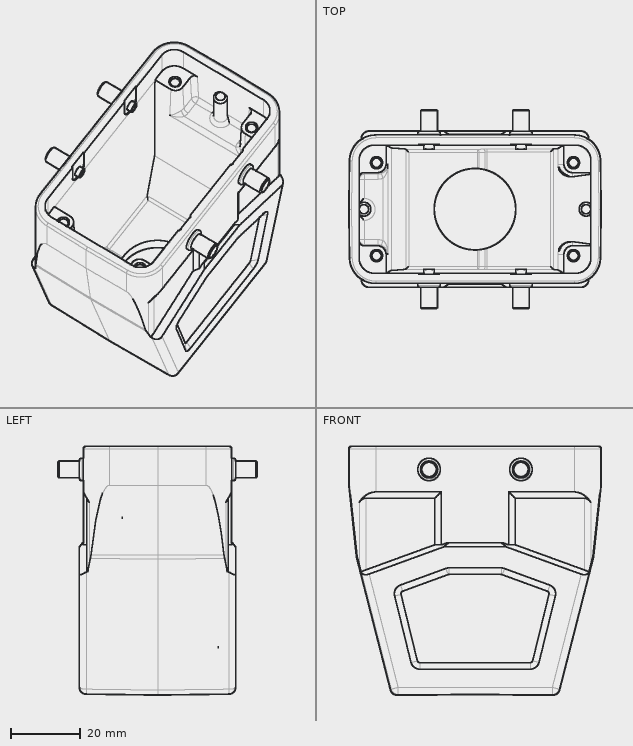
import cadquery as cq
import math

LENGTH = 73.0
HEIGHT = 72.0
PIN_SPAN = 57.6

COLLAR_WIDTH = 42.9
BODY_WIDTH = 45.25
CORNER_RADIUS = 7.6
RIM_FILLET = 0.7
PARTING_DRAFT = 0.75
BOTTOM_HALF = 24.1
KNEE_HALF = 34.3
KNEE_Z = 40.0
TAPER_TOP_Z = 60.7
KNEE_FILLET = 7.3
BODY_FILLET = 2.05

GABLE_HALF = 9.35
GABLE_Z = 44.3
GABLE_SLOPE = 20.0
GABLE_BEVEL = 1.45

PANEL_DEPTH = 1.0
PANEL_INNER_X = 9.8
PANEL_TOP_Z = 58.8
PANEL_BEVEL = 1.8
PANEL_END_FILLET = 2.9

POCKET_DEPTH = 1.45
POCKET_BEVEL = 1.9
POCKET_TOP_HALF = 8.0
POCKET_TOP_Z = 36.8
POCKET_SHOULDER_HALF = 23.8
POCKET_SHOULDER_Z = 31.0
POCKET_BOTTOM_HALF = 18.0
POCKET_BOTTOM_Z = 7.5
POCKET_CORNER = 2.6

MOUTH_LENGTH = 67.0
MOUTH_WIDTH = 37.1
MOUTH_CORNER = 4.45
SEAT_Z = 62.55
WALL_DRAFT = 2.0
FLOOR_WIDTH = 34.75
FLOOR_LEFT_X = -19.85
FLOOR_RIGHT_X = 22.5
FLOOR_LEFT_Z = 4.4
FLOOR_RIGHT_Z = 5.85
FLOOR_STEP_START_X = 0.9
FLOOR_STEP_END_X = 3.1
FLOOR_FILLET = 0.9
SHELF_Z = 49.65
SHELF_FILLET = 1.45
CABLE_HOLE_DIAMETER = 23.5

BOSS_INNER_X = 25.7
BOSS_INNER_Y = 10.6
BOSS_CORNER = 2.5
SCREW_X = 28.5
SCREW_Y = 13.4
SCREW_DIAMETER = 2.7
SCREW_MOUTH_DIAMETER = 3.5
SCREW_DEPTH = 10.95

POST_X = 32.1
POST_TOP_Z = 62.05
POST_LOW_FOOT_Z = 35.05
POST_DIAMETER = 4.0
POST_TIP_DIAMETER = 2.7
POST_TIP_LENGTH = 0.65
POST_FOOT_FILLET = 1.2

PIN_X = 13.3
PIN_Z = 65.25
PIN_DIAMETER = 4.9
PIN_CHAMFER = 0.4
PIN_COLLAR_DIAMETER = 6.5
PIN_COLLAR_LENGTH = 1.1
PIN_COLLAR_FILLET = 0.6
PIN_EMBED = 0.7
RIVET_DIAMETER = 3.0
RIVET_HOLE_DIAMETER = 1.9
RIVET_HOLE_DEPTH = 0.7
RIVET_END_Y = 17.4
RIVET_SLOT_WIDTH = 5.9
RIVET_SLOT_DEPTH = 0.3

SIDES = (-1, 1)
NEAR = 0.1
STEEP_SLOPE = (KNEE_HALF - BOTTOM_HALF) / KNEE_Z
SLIGHT_SLOPE = (LENGTH / 2 - KNEE_HALF) / (TAPER_TOP_Z - KNEE_Z)


def long_side_plane(side, y):
    """Plane on a long side: local x runs along the part, local y is Z, normal points outward."""
    return cq.Plane(origin=(0, side * y, 0), xDir=(-side, 0, 0), normal=(0, side, 0))


def mirrored_outline(right_points):
    """Closed outline from the right-hand points, mirrored about the local vertical axis."""
    return right_points + [(-x, z) for x, z in reversed(right_points)]


def drafted_half(side, outline):
    """Front silhouette carried from the middle plane to one long side, with draft."""
    return (
        cq.Workplane(long_side_plane(side, 0))
        .polyline(outline)
        .close()
        .extrude(BODY_WIDTH / 2, taper=PARTING_DRAFT)
    )


def tapered_envelope():
    """Full-height silhouette with its two tapers blended at the knee."""
    top_z = HEIGHT + 2 * RIM_FILLET
    top_half = KNEE_HALF + SLIGHT_SLOPE * (top_z - KNEE_Z)
    outline = mirrored_outline([(BOTTOM_HALF, 0), (KNEE_HALF, KNEE_Z), (top_half, top_z)])
    halves = []
    for side in SIDES:
        half = drafted_half(side, outline)
        knee = half.edges().filter(lambda e: abs(e.Center().z - KNEE_Z) < NEAR)
        halves.append(knee.fillet(KNEE_FILLET))
    return halves[0].union(halves[1])


def upper_shell():
    """Rounded collar with its sunk panels, trimmed to the tapered envelope."""
    half_width = COLLAR_WIDTH / 2
    end_half = LENGTH / 2 - half_width * math.tan(math.radians(PARTING_DRAFT))
    outline = [
        (LENGTH / 2, 0),
        (end_half, half_width),
        (-end_half, half_width),
        (-LENGTH / 2, 0),
        (-end_half, -half_width),
        (end_half, -half_width),
    ]
    collar = cq.Workplane("XY").workplane(offset=BODY_FILLET).polyline(outline).close()
    collar = collar.extrude(HEIGHT - BODY_FILLET)
    for face in ("<Y", ">Y"):
        collar = collar.faces(face).edges("|Z").fillet(CORNER_RADIUS)
    collar = collar.faces(">Z").edges().fillet(RIM_FILLET)
    shell = collar.intersect(tapered_envelope())
    for side in SIDES:
        for end in SIDES:
            shell = shell.cut(panel_cutter(side, end))
    run_outs = shell.edges("|Z").filter(lambda e: is_panel_run_out(e.Center()))
    return run_outs.fillet(PANEL_END_FILLET)


def is_panel_run_out(point):
    """True on the upright edges where the sunk panels leave the rounded corners."""
    on_panel = abs(abs(point.y) - COLLAR_WIDTH / 2 + PANEL_DEPTH) < NEAR
    return on_panel and abs(point.x) > LENGTH / 2 - CORNER_RADIUS


def panel_cutter(side, end):
    """Sunk panel beside the middle web, with sloping top and inner walls."""
    outline = [
        (end * PANEL_INNER_X, 0),
        (end * LENGTH, 0),
        (end * LENGTH, PANEL_TOP_Z),
        (end * PANEL_INNER_X, PANEL_TOP_Z),
    ]
    draft = math.degrees(math.atan2(PANEL_BEVEL, PANEL_DEPTH))
    return (
        cq.Workplane(long_side_plane(side, COLLAR_WIDTH / 2))
        .polyline(outline)
        .close()
        .extrude(-PANEL_DEPTH, taper=draft)
    )


def gable_prism():
    """Full-width block under the gable roof line."""
    eave_z = GABLE_Z - (LENGTH - GABLE_HALF) * math.tan(math.radians(GABLE_SLOPE))
    outline = mirrored_outline([(LENGTH, -HEIGHT), (LENGTH, eave_z), (GABLE_HALF, GABLE_Z)])
    return cq.Workplane("XZ").polyline(outline).close().extrude(BODY_WIDTH, both=True)


def roof_bevel_cutter(side, lean, depth):
    """Wedge along one roof edge; lean is -1, 0 or 1 for left slope, level or right slope."""
    angle = math.radians(GABLE_SLOPE) * lean
    along_roof = (math.cos(angle), 0, -math.sin(angle))
    edge_plane = cq.Plane(origin=(lean * GABLE_HALF, 0, GABLE_Z), xDir=(0, 1, 0), normal=along_roof)
    face_y = side * BODY_WIDTH / 2
    wedge = [
        (face_y - side * depth, 0),
        (face_y + side * depth, -2 * GABLE_BEVEL),
        (face_y + side * depth, 0),
    ]
    return cq.Workplane(edge_plane).polyline(wedge).close().extrude(LENGTH, both=True)


def lower_body():
    """Wide lower part with rounded edges and bevelled gable roofs."""
    side_half_at_roof = BOTTOM_HALF + STEEP_SLOPE * GABLE_Z
    outline = mirrored_outline([(BOTTOM_HALF, 0), (side_half_at_roof, GABLE_Z)])
    halves = []
    for side in SIDES:
        half = drafted_half(side, outline)
        rounded = half.edges().filter(lambda e: abs(e.Center().y) > NEAR and e.Center().z < KNEE_Z)
        halves.append(rounded.fillet(BODY_FILLET))
    body = halves[0].union(halves[1]).intersect(gable_prism())
    level_depth = (BODY_WIDTH - COLLAR_WIDTH) / 2
    for side in SIDES:
        body = body.cut(roof_bevel_cutter(side, 0, level_depth))
        for lean in SIDES:
            body = body.cut(roof_bevel_cutter(side, lean, level_depth + PANEL_DEPTH))
    return body


def pocket_cutter(side):
    """Shallow five-sided pocket with sloping walls."""
    outline = mirrored_outline(
        [
            (POCKET_BOTTOM_HALF, POCKET_BOTTOM_Z),
            (POCKET_SHOULDER_HALF, POCKET_SHOULDER_Z),
            (POCKET_TOP_HALF, POCKET_TOP_Z),
        ]
    )
    draft = math.degrees(math.atan2(POCKET_BEVEL, POCKET_DEPTH))
    corners = [cq.Vector(x, z) for x, z in outline]
    pocket = cq.Face.makeFromWires(cq.Wire.makePolygon(corners, close=True))
    pocket = pocket.fillet2D(POCKET_CORNER, pocket.Vertices())
    return (
        cq.Workplane(long_side_plane(side, BODY_WIDTH / 2))
        .placeSketch(cq.Sketch().face(pocket))
        .extrude(-POCKET_DEPTH, taper=draft)
    )


def corner_bosses():
    """Four drafted bosses that fill the cavity corners up to the seat."""
    reach_x = LENGTH / 2 - BOSS_INNER_X
    reach_y = COLLAR_WIDTH / 2 - BOSS_INNER_Y
    centre_x = BOSS_INNER_X + reach_x / 2
    centre_y = BOSS_INNER_Y + reach_y / 2
    centres = [(x * centre_x, y * centre_y) for x in SIDES for y in SIDES]
    footprint = cq.Sketch().push(centres).rect(reach_x, reach_y).reset().vertices().fillet(BOSS_CORNER)
    return (
        cq.Workplane("XY", origin=(0, 0, SEAT_Z))
        .placeSketch(footprint)
        .extrude(-SEAT_Z, taper=-WALL_DRAFT)
    )


def cavity():
    """Hollow from the mouth to the stepped floor, less the bosses and the thick end wall."""
    mouth_half = MOUTH_LENGTH / 2
    draft = math.tan(math.radians(WALL_DRAFT))
    shelf_edge_x = -BOSS_INNER_X + draft * (SEAT_Z - SHELF_Z)
    inset = BOSS_INNER_X + FLOOR_LEFT_X - draft * (SEAT_Z - FLOOR_LEFT_Z)
    meet_rise = inset / (STEEP_SLOPE - draft)
    meet_x = FLOOR_LEFT_X - STEEP_SLOPE * meet_rise
    right_top_z = FLOOR_RIGHT_Z + (mouth_half - FLOOR_RIGHT_X) / STEEP_SLOPE
    length_profile = [
        (FLOOR_LEFT_X, FLOOR_LEFT_Z),
        (FLOOR_STEP_START_X, FLOOR_LEFT_Z),
        (FLOOR_STEP_END_X, FLOOR_RIGHT_Z),
        (FLOOR_RIGHT_X, FLOOR_RIGHT_Z),
        (mouth_half, right_top_z),
        (mouth_half, HEIGHT),
        (-mouth_half, HEIGHT),
        (-mouth_half, SHELF_Z),
        (shelf_edge_x, SHELF_Z),
        (meet_x, FLOOR_LEFT_Z + meet_rise),
    ]
    width_profile = mirrored_outline(
        [(FLOOR_WIDTH / 2, FLOOR_LEFT_Z), (MOUTH_WIDTH / 2, SEAT_Z), (MOUTH_WIDTH / 2, HEIGHT)]
    )
    hollow = cq.Workplane("XZ").polyline(length_profile).close().extrude(MOUTH_WIDTH, both=True)
    shelf_edges = hollow.edges("|Y").filter(lambda e: abs(e.Center().z - SHELF_Z) < NEAR)
    hollow = shelf_edges.fillet(SHELF_FILLET)
    hollow = hollow.intersect(cq.Workplane("YZ").polyline(width_profile).close().extrude(LENGTH, both=True))
    hollow = hollow.edges().filter(lambda e: e.Center().z < FLOOR_RIGHT_Z + NEAR).fillet(FLOOR_FILLET)
    mouth = cq.Workplane("XY").rect(MOUTH_LENGTH, MOUTH_WIDTH).extrude(HEIGHT)
    hollow = hollow.intersect(mouth.edges("|Z").fillet(MOUTH_CORNER))
    hollow = hollow.cut(corner_bosses())
    boss_feet = hollow.edges().filter(is_shelf_foot)
    return boss_feet.fillet(SHELF_FILLET)


def is_shelf_foot(edge):
    """True on the straight edges where the end wall ledge meets the bosses."""
    point = edge.Center()
    boss_face_y = BOSS_INNER_Y - (SEAT_Z - SHELF_Z) * math.tan(math.radians(WALL_DRAFT))
    on_ledge = abs(point.z - SHELF_Z) < NEAR
    on_boss = abs(abs(point.y) - boss_face_y) < NEAR
    return on_ledge and on_boss and edge.geomType() == "LINE"


def screw_holes():
    """Blind holes with a countersunk mouth in the four boss tops."""
    mouth_depth = (SCREW_MOUTH_DIAMETER - SCREW_DIAMETER) / 2
    profile = [
        (0, 0),
        (SCREW_MOUTH_DIAMETER / 2, 0),
        (SCREW_DIAMETER / 2, -mouth_depth),
        (SCREW_DIAMETER / 2, -SCREW_DEPTH),
        (0, -SCREW_DEPTH),
    ]
    hole = cq.Workplane("XZ").polyline(profile).close().revolve(360, (0, 0), (0, 1))
    return [hole.translate((x * SCREW_X, y * SCREW_Y, SEAT_Z)) for x in SIDES for y in SIDES]


def guide_post(end):
    """Half-embedded post with a blunt conical tip; the one on the ledge has a flared foot."""
    on_shelf = end < 0
    foot_z = SHELF_Z if on_shelf else POST_LOW_FOOT_Z
    post = (
        cq.Workplane("XY", origin=(end * POST_X, 0, foot_z))
        .circle(POST_DIAMETER / 2)
        .extrude(POST_TOP_Z - foot_z)
        .faces(">Z")
        .chamfer(POST_TIP_LENGTH, (POST_DIAMETER - POST_TIP_DIAMETER) / 2)
    )
    if not on_shelf:
        return post
    foot_radius = POST_DIAMETER / 2 + POST_FOOT_FILLET
    flare = (
        cq.Workplane("XZ")
        .lineTo(foot_radius, 0)
        .radiusArc((POST_DIAMETER / 2, POST_FOOT_FILLET), POST_FOOT_FILLET)
        .lineTo(0, POST_FOOT_FILLET)
        .close()
        .revolve(360, (0, 0), (0, 1))
    )
    return post.union(flare.translate((end * POST_X, 0, foot_z)))


def locking_pin(side, x):
    """Pin with a collar outside the wall and a hollow riveted end inside."""
    wall_y = COLLAR_WIDTH / 2
    tip_y = PIN_SPAN / 2
    profile = [
        (0, RIVET_END_Y + RIVET_HOLE_DEPTH),
        (RIVET_HOLE_DIAMETER / 2, RIVET_END_Y + RIVET_HOLE_DEPTH),
        (RIVET_HOLE_DIAMETER / 2, RIVET_END_Y),
        (RIVET_DIAMETER / 2, RIVET_END_Y),
        (RIVET_DIAMETER / 2, wall_y - PIN_EMBED),
        (PIN_COLLAR_DIAMETER / 2, wall_y - PIN_EMBED),
        (PIN_COLLAR_DIAMETER / 2, wall_y + PIN_COLLAR_LENGTH),
        (PIN_DIAMETER / 2, wall_y + PIN_COLLAR_LENGTH),
        (PIN_DIAMETER / 2, tip_y - PIN_CHAMFER),
        (PIN_DIAMETER / 2 - PIN_CHAMFER, tip_y),
        (0, tip_y),
    ]
    pin = cq.Workplane("XY").polyline(profile).close().revolve(360, (0, 0), (0, 1))
    collar_radius = PIN_COLLAR_DIAMETER / 2
    collar_rim = pin.edges("%CIRCLE").filter(lambda e: abs(e.radius() - collar_radius) < NEAR)
    pin = collar_rim.fillet(PIN_COLLAR_FILLET)
    if side < 0:
        pin = pin.mirror("XZ")
    return pin.translate((x, 0, PIN_Z))


def rivet_slot(side, x):
    """Shallow round-ended slot in the inner wall, open at the rim."""
    plane = long_side_plane(side, MOUTH_WIDTH / 2)
    local_x = -side * x
    rise = HEIGHT - PIN_Z
    round_end = cq.Workplane(plane).center(local_x, PIN_Z).circle(RIVET_SLOT_WIDTH / 2)
    straight = cq.Workplane(plane).center(local_x, PIN_Z + rise / 2).rect(RIVET_SLOT_WIDTH, rise)
    return round_end.extrude(RIVET_SLOT_DEPTH).union(straight.extrude(RIVET_SLOT_DEPTH))


result = upper_shell().union(lower_body())
for side in SIDES:
    result = result.cut(pocket_cutter(side))
result = result.cut(cavity())
result = result.cut(cq.Workplane("XY").circle(CABLE_HOLE_DIAMETER / 2).extrude(SHELF_Z))
for hole in screw_holes():
    result = result.cut(hole)
for end in SIDES:
    result = result.union(guide_post(end).intersect(tapered_envelope()))
for side in SIDES:
    for x in (-PIN_X, PIN_X):
        result = result.cut(rivet_slot(side, x)).union(locking_pin(side, x))